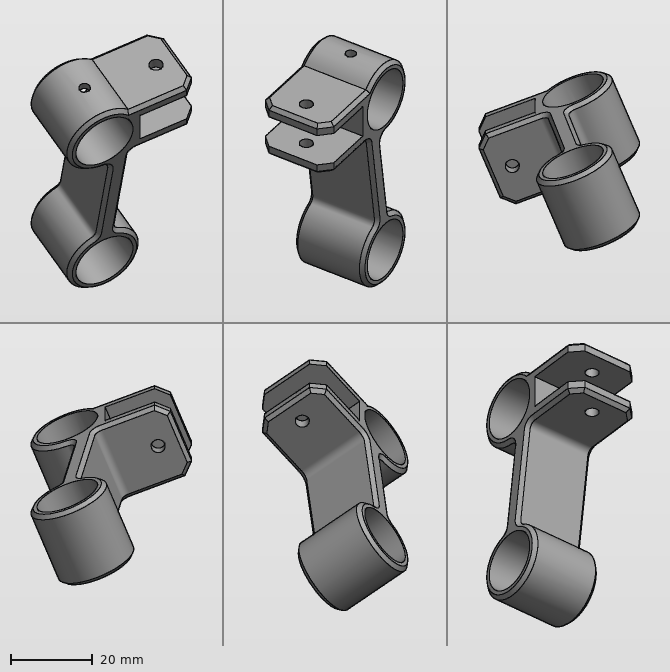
import cadquery as cq

overall_height = 66
width = 20.0
ring_diameter = 20.0
bore_diameter = 16.0
ring_radius = ring_diameter / 2
ring_spacing = overall_height - ring_diameter

fork_end_y = 26.0
fork_top_z = 7.0
fork_height = 15.0
slot_height = 9.0
arm_thickness = (fork_height - slot_height) / 2
fork_bottom_z = fork_top_z - fork_height
corner_cut = 3.0
pin_hole_diameter = 3.4
pin_hole_y = ring_diameter

web_thickness = 5.0
web_top_y = 5.75
web_bottom_y = -0.85

set_screw_diameter = 2.8
fillet_radius = 2
rim_chamfer = 1.0
tolerance = 0.005


def x_cylinder(diameter, z):
    """Full-width cylinder along X at height z."""
    return cq.Workplane("YZ").center(0, z).circle(diameter / 2).extrude(width / 2, both=True)


def z_cylinder(diameter, y, bottom_z, top_z):
    """Upright cylinder at position y."""
    start = cq.Workplane("XY", origin=(0, y, bottom_z))
    return start.circle(diameter / 2).extrude(top_z - bottom_z)


def fork_block():
    """Solid fork, before slotting, with its two end corners cut off."""
    block = cq.Workplane("XY").box(width, fork_end_y, fork_height, centered=(True, False, False))
    block = block.edges("|Z and >Y").chamfer(corner_cut)
    return block.translate((0, 0, fork_bottom_z))


def web():
    """Sloping plate whose ends are buried in the two rings."""
    top = cq.Vector(0, web_top_y, 0)
    bottom = cq.Vector(0, web_bottom_y, -ring_spacing)
    direction = top - bottom
    plane = cq.Plane(origin=bottom, xDir=(1, 0, 0), normal=direction)
    return cq.Workplane(plane).rect(width, web_thickness).extrude(direction.Length)


def is_outer_rim(edge):
    """True for edges around the side faces and around the fork end, except the upright ones."""
    box = edge.BoundingBox()
    on_side = box.xlen < tolerance and abs(abs(edge.Center().x) - width / 2) < tolerance
    at_fork_end = box.ymin > fork_end_y - corner_cut - tolerance
    upright = box.xlen < tolerance and box.ylen < tolerance
    return (on_side or at_fork_end) and not upright


body = x_cylinder(ring_diameter, 0)
body = body.union(fork_block())
body = body.union(web())
body = body.union(x_cylinder(ring_diameter, -ring_spacing))
body = body.clean()

web_root_zone = cq.selectors.BoxSelector(
    (-width, -ring_radius, -ring_spacing),
    (width, ring_radius, fork_bottom_z + tolerance),
)
web_roots = body.edges("|X").edges(web_root_zone)
body = web_roots.fillet(fillet_radius)

rim_edges = [edge for edge in body.edges().vals() if is_outer_rim(edge)]
body = body.newObject(rim_edges).chamfer(rim_chamfer)

body = body.cut(x_cylinder(bore_diameter, 0))
body = body.cut(x_cylinder(bore_diameter, -ring_spacing))

slot_length = fork_end_y - ring_radius
slot = cq.Workplane("XY").box(width, slot_length, slot_height, centered=(True, False, False))
body = body.cut(slot.translate((0, ring_radius, fork_bottom_z + arm_thickness)))

body = body.cut(z_cylinder(pin_hole_diameter, pin_hole_y, fork_bottom_z, fork_top_z))
body = body.cut(z_cylinder(set_screw_diameter, 0, 0, ring_diameter))

result = body